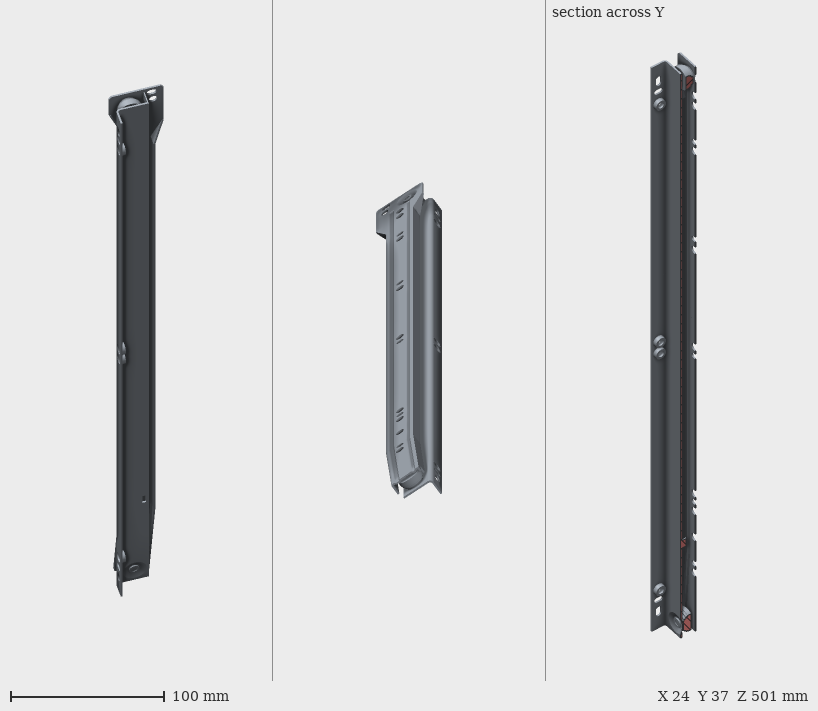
import cadquery as cq
import math

LENGTH = 501.0
WIDTH = 24.0
HEIGHT = 37.0
SHEET = 1.25

RAIL_TOP = 29.5
RAIL_BOTTOM = 7.5
FLANGE_REACH = 8.0
FLANGE_TIP = 1.5
RAMP_Z = 65.0
RAMP_SLOPE = 1 / 15
OVERRUN = 10.0
UPPER_FLARE = (450.0, 464.5)
LOWER_FLARE = (467.0, 482.5)
HEAD_CORNER = 2.0
UPPER_BEAD = (22.5, 27.0)
LOWER_BEAD = (10.0, 13.5)
BEAD_TOP = 483.5
BEAD_DEPTH = 0.75
BEAD_TAPER = 55
UPPER_BEND_RADIUS = 1.0
END_NOTCH_X = 3.0
END_NOTCH = 9.0
WEB_HOLE_Y = 18.0
WEB_HOLES = (475.0, 466.0, 426.0, 338.0, 252.0, 122.5, 106.5, 83.5, 52.0)
WEB_HOLE_DIAMETER = 6.0
WEB_SLOTS = (434.0, 348.0, 244.0, 115.0, 60.0)
WEB_SLOT = (5.5, 4.0)
HEAD_SLOT = (29.0, 496.5)
HEAD_SLOT_SIZE = (6.5, 4.5)
HEAD_HOLE = (30.0, 489.0)
HEAD_HOLE_DIAMETER = 5.5

DRAWER_END = 1.0
DRAWER_BOTTOM = 1.25
DRAWER_TOP = 23.5
WEB_OUTER = 13.0
BEND_RADIUS = 3.0
RUNNER_EDGE = 3.5
RUNNER_END = 25.0
RUNNER_STEP_Z = 441.0
RUNNER_STEP = 0.5
CATCH_WINDOW = (20.5, 83.5)
CATCH_WINDOW_SIZE = (2.5, 7.0)
CATCH_REACH = 3.5
SCREW_X = 18.5
DIMPLES = (466.5, 256.0, 246.0, 36.0)
DIMPLE_RADIUS = 4.5
DIMPLE_DRAFT = 0.5
DIMPLE_WALL = 1.0
DIMPLE_HEIGHT = 4.0
SCREW_HOLE_RADIUS = 2.25
CROSS_SLOTS = (477.0, 26.5)
CROSS_SLOT = (7.0, 4.0)
LONG_SLOTS = (486.0, 16.0)
LONG_SLOT = (8.0, 4.5)

ROLLER_RADIUS = 8.5
ROLLER_WIDTH = 6.0
SHOULDER_RADII = (7.0, 8.0)
SHOULDER_WIDTH = 1.5
PIN_RADIUS = 2.0
PIN_HEAD_RADIUS = 3.5
PIN_HEAD = 1.0
PIN_CENTRE_DEPTH = 0.5
PIN_CENTRE_RADIUS = 2.0
PIN_FOOT = 0.5
BOSS_RADIUS = 6.0
BOSS_HEIGHT = 1.5
RECESS_RADIUS = 8.0
RECESS_FLOOR_RADIUS = 4.5
FRONT_AXLE = (12.5, 490.5)
REAR_AXLE = (14.0, 11.0)


def side_sketch(x, points):
    """Closed outline of (y, z) points on the plane at x, ready to extrude along +X."""
    return cq.Workplane("YZ", origin=(x, 0, 0)).polyline(points).close()


def side_plane(x, y, z):
    return cq.Workplane("YZ", origin=(x, y, z))


def rail_line(y):
    """The two points of a line that runs at height y and follows the rear ramp."""
    drop = (RAMP_Z + OVERRUN) * RAMP_SLOPE
    return [(y - drop, -OVERRUN), (y, RAMP_Z)]


def upper_edge():
    return rail_line(RAIL_TOP) + [(RAIL_TOP, UPPER_FLARE[0]), (HEIGHT, UPPER_FLARE[1])]


def lower_edge():
    return rail_line(RAIL_BOTTOM) + [(RAIL_BOTTOM, LOWER_FLARE[0]), (0, LOWER_FLARE[1])]


def cabinet_plate():
    head = [
        (HEIGHT, LENGTH - HEAD_CORNER),
        (HEIGHT - HEAD_CORNER, LENGTH),
        (HEAD_CORNER, LENGTH),
        (0, LENGTH - HEAD_CORNER),
    ]
    return side_sketch(0, upper_edge() + head + lower_edge()[::-1]).extrude(SHEET)


def edge_flange(edge, inward, flare):
    """Flange along an edge of the plate; it narrows where the edge flares outward."""
    inner = [(y + inward * SHEET, z) for y, z in edge]
    flange = side_sketch(0, edge + inner[::-1]).extrude(FLANGE_REACH)
    taper = (
        cq.Workplane("XZ")
        .polyline([(FLANGE_REACH, flare[0]), (FLANGE_REACH, flare[1]), (FLANGE_TIP, flare[1])])
        .close()
        .extrude(HEIGHT, both=True)
    )
    return flange.cut(taper)


def bead(y_range, x):
    low, high = y_range
    outline = rail_line(low) + [(low, BEAD_TOP), (high, BEAD_TOP)] + rail_line(high)[::-1]
    return side_sketch(x, outline).extrude(BEAD_DEPTH, taper=BEAD_TAPER)


def axle_boss(rail, axle, face, inward):
    """Press a boss out of a rail at an axle. `face` is the X of its outer sheet face and
    `inward` the X direction toward the roller."""

    def disc(radius, depth):
        return side_plane(face, *axle).circle(radius).extrude(inward * depth)

    depth = SHEET + BOSS_HEIGHT
    recess = (
        side_plane(face, *axle)
        .circle(RECESS_RADIUS)
        .workplane(offset=inward * BOSS_HEIGHT)
        .circle(RECESS_FLOOR_RADIUS)
        .loft()
    )
    return rail.union(disc(BOSS_RADIUS, depth)).cut(recess).cut(disc(PIN_RADIUS, depth))


def make_cabinet_rail():
    rail = (
        cabinet_plate()
        .union(edge_flange(upper_edge(), -1, UPPER_FLARE))
        .union(edge_flange(lower_edge(), 1, LOWER_FLARE))
    )

    upper_bend = cq.selectors.BoxSelector(
        (-SHEET / 2, UPPER_BEAD[0], -OVERRUN), (SHEET / 2, RAIL_TOP + SHEET, UPPER_FLARE[0])
    )
    rail = rail.edges(upper_bend).fillet(UPPER_BEND_RADIUS)

    for y_range in (UPPER_BEAD, LOWER_BEAD):
        rail = rail.union(bead(y_range, SHEET)).cut(bead(y_range, 0))

    corner = RAIL_TOP - RAMP_Z * RAMP_SLOPE
    end = [
        (corner + OVERRUN, -OVERRUN * RAMP_SLOPE),
        (corner - HEIGHT, HEIGHT * RAMP_SLOPE),
        (corner - HEIGHT, -2 * OVERRUN),
        (corner + OVERRUN, -2 * OVERRUN),
    ]
    rail = rail.cut(side_sketch(0, end).extrude(FLANGE_REACH))
    rail = rail.cut(
        cq.Workplane("XY")
        .box(FLANGE_REACH, RAIL_BOTTOM, END_NOTCH, centered=False)
        .translate((END_NOTCH_X, 0, 0))
    )

    for z in WEB_HOLES:
        rail = rail.cut(side_plane(0, WEB_HOLE_Y, z).circle(WEB_HOLE_DIAMETER / 2).extrude(SHEET))
    for z in WEB_SLOTS:
        rail = rail.cut(side_plane(0, WEB_HOLE_Y, z).slot2D(*WEB_SLOT).extrude(SHEET))
    rail = rail.cut(side_plane(0, *HEAD_SLOT).slot2D(*HEAD_SLOT_SIZE).extrude(SHEET))
    rail = rail.cut(side_plane(0, *HEAD_HOLE).circle(HEAD_HOLE_DIAMETER / 2).extrude(SHEET))

    return axle_boss(rail, FRONT_AXLE, 0, 1)


def drawer_profile():
    inner = WEB_OUTER - SHEET
    bend_x = inner + BEND_RADIUS
    bend_y = DRAWER_BOTTOM + BEND_RADIUS
    inside = BEND_RADIUS - SHEET
    diagonal = math.sqrt(0.5)
    return (
        cq.Workplane("XY", origin=(0, 0, DRAWER_END))
        .moveTo(WIDTH, DRAWER_BOTTOM)
        .lineTo(bend_x, DRAWER_BOTTOM)
        .threePointArc((bend_x - BEND_RADIUS * diagonal, bend_y - BEND_RADIUS * diagonal), (inner, bend_y))
        .lineTo(inner, DRAWER_TOP - SHEET)
        .lineTo(RUNNER_EDGE, DRAWER_TOP - SHEET)
        .lineTo(RUNNER_EDGE, DRAWER_TOP)
        .lineTo(WEB_OUTER, DRAWER_TOP)
        .lineTo(WEB_OUTER, bend_y)
        .threePointArc(
            (bend_x - inside * diagonal, bend_y - inside * diagonal), (bend_x, DRAWER_BOTTOM + SHEET)
        )
        .lineTo(WIDTH, DRAWER_BOTTOM + SHEET)
        .close()
    )


def flange_plane(z):
    """Plane on the underside of the support flange, drawing toward +Y."""
    plane = cq.Plane(origin=(SCREW_X, DRAWER_BOTTOM, z), xDir=(1, 0, 0), normal=(0, 1, 0))
    return cq.Workplane(plane)


def dimple_plug(z, radius, height):
    """Slightly tapered plug that stands on the underside of the support flange."""
    return (
        flange_plane(z)
        .circle(radius)
        .workplane(offset=height)
        .circle(radius - DIMPLE_DRAFT)
        .loft()
    )


def make_drawer_rail():
    rail = drawer_profile().extrude(LENGTH - DRAWER_END)

    web_inner = WEB_OUTER - SHEET
    rear_gap = cq.Workplane("XY").box(web_inner, HEIGHT, RUNNER_END, centered=False)
    rear_gap = rear_gap.translate((0, DRAWER_TOP - SHEET, 0))
    front_step = cq.Workplane("XY").box(web_inner, RUNNER_STEP, LENGTH - RUNNER_STEP_Z, centered=False)
    front_step = front_step.translate((0, DRAWER_TOP - SHEET, RUNNER_STEP_Z))
    rail = rail.cut(rear_gap).cut(front_step)

    tab_y = CATCH_WINDOW[0] - CATCH_WINDOW_SIZE[0] / 2 - SHEET / 2
    tab = side_plane(web_inner, tab_y, CATCH_WINDOW[1]).rect(SHEET, CATCH_WINDOW_SIZE[1])
    tab = tab.extrude(-CATCH_REACH)
    window = side_plane(web_inner, *CATCH_WINDOW).rect(*CATCH_WINDOW_SIZE).extrude(SHEET)
    rail = rail.union(tab).cut(window)

    for z in DIMPLES:
        rail = rail.union(dimple_plug(z, DIMPLE_RADIUS, DIMPLE_HEIGHT))
        rail = rail.cut(dimple_plug(z, DIMPLE_RADIUS - DIMPLE_WALL, DIMPLE_HEIGHT - DIMPLE_WALL))
        rail = rail.cut(flange_plane(z).circle(SCREW_HOLE_RADIUS).extrude(DIMPLE_HEIGHT))
    for z in CROSS_SLOTS:
        rail = rail.cut(flange_plane(z).slot2D(*CROSS_SLOT).extrude(SHEET))
    for z in LONG_SLOTS:
        rail = rail.cut(flange_plane(z).slot2D(*LONG_SLOT, 90).extrude(SHEET))

    return axle_boss(rail, REAR_AXLE, WEB_OUTER, -1)


def make_roller(axle, face, inward):
    """Roller on the boss of a rail: the tread, stepped down next to the boss."""
    start = face + inward * (SHEET + BOSS_HEIGHT)
    roller = side_plane(start, *axle).circle(ROLLER_RADIUS).extrude(inward * ROLLER_WIDTH)
    for step, radius in enumerate(SHOULDER_RADII):
        step_start = start + inward * step * SHOULDER_WIDTH
        ring = side_plane(step_start, *axle).circle(ROLLER_RADIUS).circle(radius)
        roller = roller.cut(ring.extrude(inward * SHOULDER_WIDTH))
    bore = side_plane(start, *axle).circle(PIN_RADIUS).extrude(inward * ROLLER_WIDTH)
    return roller.cut(bore)


def make_pin(axle, face, inward):
    """Rivet with its head in the boss recess and its foot just past the roller."""
    head_top = BOSS_HEIGHT - PIN_HEAD
    head = side_plane(face + inward * head_top, *axle).circle(PIN_HEAD_RADIUS).extrude(inward * PIN_HEAD)
    shank_length = SHEET + ROLLER_WIDTH + PIN_FOOT
    shank = side_plane(face + inward * BOSS_HEIGHT, *axle).circle(PIN_RADIUS).extrude(inward * shank_length)
    centre = side_plane(face + inward * head_top, *axle).circle(PIN_CENTRE_RADIUS)
    return head.union(shank).cut(centre.extrude(inward * PIN_CENTRE_DEPTH))


cabinet_rail = make_cabinet_rail()
drawer_rail = make_drawer_rail()
axles = [(FRONT_AXLE, 0, 1), (REAR_AXLE, WEB_OUTER, -1)]
rollers = [make_roller(*place).val() for place in axles]
pins = [make_pin(*place).val() for place in axles]

result = cq.Compound.makeCompound([cabinet_rail.val(), drawer_rail.val(), *rollers, *pins])